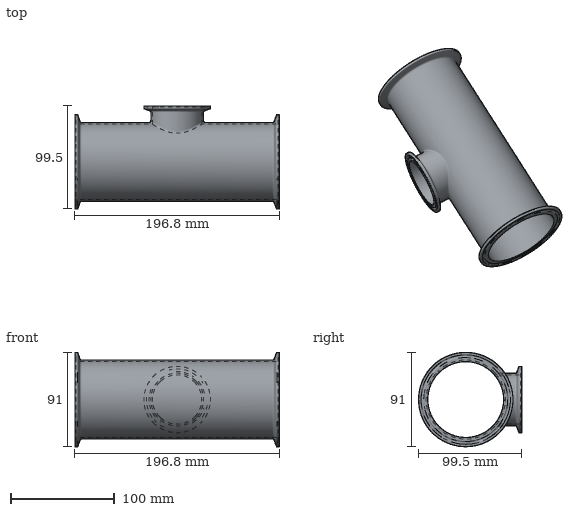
import cadquery as cq
import math

run_length = 196.8
branch_reach = 54.0

run_outer_dia = 76.2
run_bore_dia = 72.8
branch_outer_dia = 50.8
branch_bore_dia = 47.5
junction_fillet = 1.5

run_flange_dia = 91.0
branch_flange_dia = 64.0
rim_thickness = 2.8
back_slope = math.radians(20)
rim_front_fillet = 0.4
rim_back_fillet = 0.4
neck_fillet = 1.4

groove_gap = 2.4
groove_width = 2.8
groove_depth = 1.2
groove_lip_fillet = 0.4

tolerance = 0.02


def circles_within(radius, z):
    """Selector for circular edges about the Z axis at height z, up to the given radius."""
    reach = radius + tolerance
    return cq.selectors.BoxSelector(
        (-reach, -reach, z - tolerance), (reach, reach, z + tolerance), boundingbox=True
    )


def ferrule_tube(length, tube_dia, flange_dia):
    """Solid tube along +Z with its clamp flange face at Z = 0."""
    tube_radius = tube_dia / 2
    flange_radius = flange_dia / 2
    neck_z = rim_thickness + (flange_radius - tube_radius) * math.tan(back_slope)
    blank = (
        cq.Workplane("XZ")
        .moveTo(0, 0)
        .lineTo(flange_radius, 0)
        .lineTo(flange_radius, rim_thickness)
        .lineTo(tube_radius, neck_z)
        .lineTo(tube_radius, length)
        .lineTo(0, length)
        .close()
        .revolve(360, (0, 0, 0), (0, 1, 0))
    )

    blank = blank.edges(circles_within(tube_radius, neck_z)).fillet(neck_fillet)
    blank = blank.edges(circles_within(flange_radius, rim_thickness)).fillet(rim_back_fillet)
    blank = blank.edges(circles_within(flange_radius, 0)).fillet(rim_front_fillet)

    ferrule = blank.cut(gasket_groove(flange_radius))
    groove_lips = circles_within(flange_radius - groove_gap, 0)
    return ferrule.edges(groove_lips).fillet(groove_lip_fillet)


def gasket_groove(flange_radius):
    """Round-bottomed ring cut into the flange face at Z = 0."""
    outer_radius = flange_radius - groove_gap
    inner_radius = outer_radius - groove_width
    middle_radius = (inner_radius + outer_radius) / 2
    return (
        cq.Workplane("XZ")
        .moveTo(inner_radius, 0)
        .lineTo(outer_radius, 0)
        .threePointArc((middle_radius, groove_depth), (inner_radius, 0))
        .close()
        .revolve(360, (0, 0, 0), (0, 1, 0))
    )


half_run = (
    ferrule_tube(run_length / 2, run_outer_dia, run_flange_dia)
    .rotate((0, 0, 0), (0, 1, 0), 90)
    .translate((-run_length / 2, 0, 0))
)
run = half_run.union(half_run.mirror("YZ")).clean()

branch = (
    ferrule_tube(branch_reach, branch_outer_dia, branch_flange_dia)
    .rotate((0, 0, 0), (1, 0, 0), 90)
    .translate((0, branch_reach, 0))
)

tee = run.union(branch)
junction_box = cq.selectors.BoxSelector(
    (-branch_outer_dia, tolerance, -branch_outer_dia),
    (branch_outer_dia, run_outer_dia / 2 + tolerance, branch_outer_dia),
    boundingbox=True,
)
tee = tee.edges(junction_box).fillet(junction_fillet)

run_bore = cq.Workplane("YZ").circle(run_bore_dia / 2).extrude(run_length / 2, both=True)
branch_bore = cq.Workplane("XZ").circle(branch_bore_dia / 2).extrude(-branch_reach)
result = tee.cut(run_bore).cut(branch_bore)